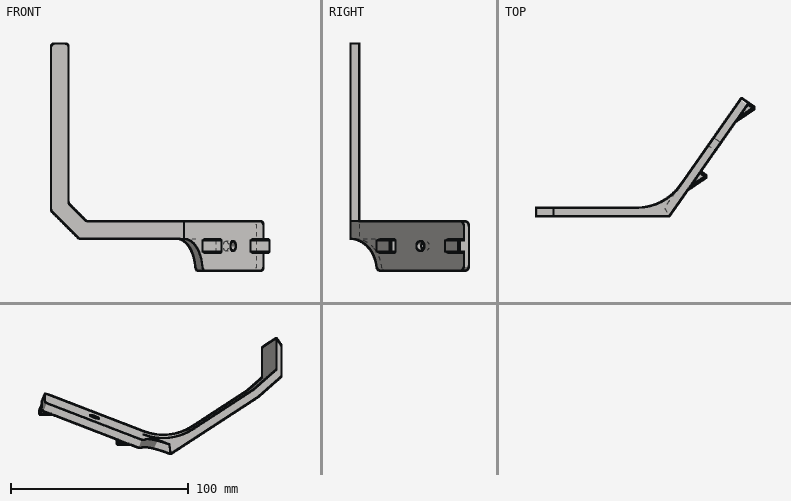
import cadquery as cq
import math

thickness = 5.0
total_height = 128.0
arm_width = 10.0
arm_fillet = 2.0
corner_cut = 10.0
bend_x = 75.0
corner_angle = 45.0
corner_offset = arm_width * math.tan(math.radians(corner_angle / 2))

plate_angle = 55.0
miter_setback = thickness * math.tan(math.radians(plate_angle / 2))
plate_length = 78.0
plate_height = 28.0
plate_fillet = 3.0
arm_bottom = plate_height - arm_width
relief_radius = arm_bottom
bend_fillet = 30.0

hole_diameter = 5.4
hole_position = (relief_radius + plate_length) / 2
hole_z = plate_height / 2

hook_length = 13.0
hook_height = 5.0
hook_width = 8.0
hook_chamfer = 1.0
hook_starts = (relief_radius, plate_length - hook_length)


def make_arm():
    """Upright and horizontal leg, ending in a miter at the bend."""
    inner_corner_z = plate_height + corner_cut
    outer_corner_x = arm_width + corner_cut - corner_offset
    outer_corner_z = inner_corner_z - corner_offset
    strip = (
        cq.Workplane("XZ")
        .moveTo(0, total_height)
        .lineTo(arm_width, total_height)
        .lineTo(arm_width, inner_corner_z)
        .lineTo(arm_width + corner_cut, plate_height)
        .lineTo(bend_x, plate_height)
        .lineTo(bend_x, arm_bottom)
        .lineTo(outer_corner_x, arm_bottom)
        .lineTo(0, outer_corner_z)
        .close()
        .extrude(-thickness)
        .edges("|Y and (not >X)")
        .fillet(arm_fillet)
    )
    miter = (
        cq.Workplane("XY")
        .polyline([(bend_x, 0), (bend_x - miter_setback, thickness), (bend_x, thickness)])
        .close()
        .extrude(total_height)
    )
    return strip.cut(miter)


def in_plate_frame(shape):
    """Move a shape built along +X, with its outer face at y = 0, to the bend."""
    turned = shape.rotate((0, 0, 0), (0, 0, 1), plate_angle)
    return turned.translate((bend_x, 0, 0))


def make_plate():
    """Plate with a concave relief under the arm, rounded corners and the screw hole."""
    diagonal = relief_radius * math.cos(math.radians(45))
    plate = (
        cq.Workplane("XZ")
        .moveTo(0, arm_bottom)
        .threePointArc((diagonal, diagonal), (relief_radius, 0))
        .lineTo(plate_length, 0)
        .lineTo(plate_length, plate_height)
        .lineTo(0, plate_height)
        .close()
        .extrude(-thickness)
        .edges("|Y and (>X or <Z)")
        .fillet(plate_fillet)
    )
    miter = (
        cq.Workplane("XY")
        .polyline([(0, 0), (miter_setback, thickness), (0, thickness)])
        .close()
        .extrude(plate_height)
    )
    hole = (
        cq.Workplane("XZ")
        .center(hole_position, hole_z)
        .circle(hole_diameter / 2)
        .extrude(-thickness)
    )
    return in_plate_frame(plate.cut(miter).cut(hole))


def make_bend_fillet():
    """Material filling the inside of the bend, with a concave round face."""
    direction = math.radians(plate_angle)
    tangent = bend_fillet * math.tan(direction / 2)
    corner_x = bend_x - miter_setback
    arm_tangent = (corner_x - tangent, thickness)
    plate_tangent = (
        corner_x + tangent * math.cos(direction),
        thickness + tangent * math.sin(direction),
    )
    return (
        cq.Workplane("XY")
        .workplane(offset=arm_bottom)
        .moveTo(*arm_tangent)
        .lineTo(corner_x, thickness)
        .lineTo(*plate_tangent)
        .radiusArc(arm_tangent, bend_fillet)
        .close()
        .extrude(arm_width)
    )


def make_hook(start):
    """Wedge rising along the plate; every edge off the plate is chamfered."""
    hook = (
        cq.Workplane("XY")
        .workplane(offset=hole_z - hook_width / 2)
        .moveTo(start, 0)
        .lineTo(start + hook_length, -hook_height)
        .lineTo(start + hook_length, 0)
        .close()
        .extrude(hook_width)
        .edges("not >Y")
        .chamfer(hook_chamfer)
    )
    return in_plate_frame(hook)


result = make_arm().union(make_plate()).union(make_bend_fillet())
for hook_start in hook_starts:
    result = result.union(make_hook(hook_start))